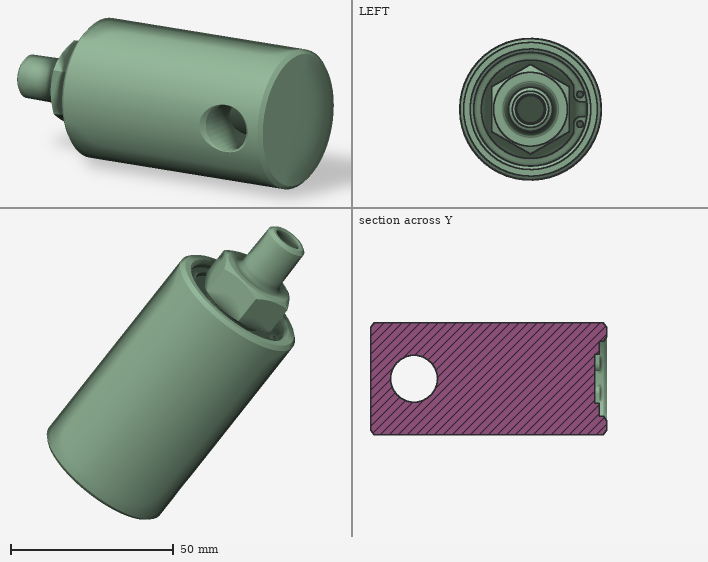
import cadquery as cq
import math

TOTAL_LENGTH = 98.89
TIP_TO_HEX = 15.85
TIP_TO_HOUSING = 25.8

HOUSING_DIAMETER = 43.7
HOUSING_CHAMFER = 1.2
MOUTH_DIAMETER = 37.25
BORE_DIAMETER = 35.08
RECESS_DEPTH = 3.8

RING_INNER_RADIUS = 15.2
RING_THICKNESS = 1.5
LUG_INNER_OFFSET = 13.3
LUG_CORNER_RADIUS = 2.3
LUG_FAR_OFFSET = 8.0
RING_GAP = 4.6
RING_HOLE_DIAMETER = 1.98
RING_HOLE_OFFSET_Y = 15.3
RING_HOLE_OFFSET_Z = 4.6

HEX_SIDES = 6
HEX_ACROSS_FLATS = 24.0
HEX_CHAMFER_RADIUS = 11.4
HEX_CHAMFER_ANGLE = 30.0
HEX_LENGTH = 12.1
NECK_DIAMETER = 19.84

SPIGOT_TIP_RADIUS = 5.6
SPIGOT_START_RADIUS = 6.78
SPIGOT_END_RADIUS = 7.0
SPIGOT_CHAMFER_LENGTH = 1.0
SPIGOT_FILLET_RADIUS = 1.6
SPIGOT_BORE_DIAMETER = 8.5
SPIGOT_BORE_MOUTH_DIAMETER = 9.3
SPIGOT_BORE_DEPTH = 40.0

PORT_FROM_END = 13.5
PORT_SINK_RADIUS = 8.85
PORT_MOUTH_RADIUS = 7.4
PORT_INNER_RADIUS = 6.8
SHAFT_DIAMETER = 14.6

ORIGIN = (0, 0, 0)
X_AXIS = (1, 0, 0)
Y_AXIS = (0, 1, 0)

HOUSING_RADIUS = HOUSING_DIAMETER / 2
BORE_RADIUS = BORE_DIAMETER / 2
HOUSING_LENGTH = TOTAL_LENGTH - TIP_TO_HOUSING
RECESS_FLOOR_X = TIP_TO_HOUSING + RECESS_DEPTH


def x_cylinder(radius, start, length):
    """Solid cylinder about the X axis."""
    return cq.Workplane("YZ", origin=(start, 0, 0)).circle(radius).extrude(length)


def revolved_about_x(points):
    """Solid turned about X from (x, radius) points."""
    return cq.Workplane("XY").polyline(points).close().revolve(axisStart=ORIGIN, axisEnd=X_AXIS)


def make_housing():
    """Chamfered cylinder with a countersunk recess in its -X face."""
    body = x_cylinder(HOUSING_RADIUS, TIP_TO_HOUSING, HOUSING_LENGTH)
    body = body.faces("<X or >X").chamfer(HOUSING_CHAMFER)
    mouth_radius = MOUTH_DIAMETER / 2
    mouth_depth = mouth_radius - BORE_RADIUS
    recess = revolved_about_x([
        (TIP_TO_HOUSING, 0),
        (TIP_TO_HOUSING, mouth_radius),
        (TIP_TO_HOUSING + mouth_depth, BORE_RADIUS),
        (RECESS_FLOOR_X, BORE_RADIUS),
        (RECESS_FLOOR_X, 0),
    ])
    return body.cut(recess)


def make_retaining_ring():
    """Open ring with a drilled, rounded lug on each side of the gap at -Y."""
    start = RECESS_FLOOR_X - RING_THICKNESS
    plane = cq.Workplane("YZ", origin=(start, 0, 0))
    disc = plane.circle(BORE_RADIUS).extrude(RING_THICKNESS)
    opening = plane.circle(RING_INNER_RADIUS).extrude(RING_THICKNESS)
    ring = disc.cut(opening)
    lug_length = BORE_RADIUS - LUG_INNER_OFFSET
    lug_width = LUG_FAR_OFFSET - RING_GAP / 2
    for side in (-1, 1):
        lug = (
            plane.center(-LUG_INNER_OFFSET - lug_length / 2, side * (RING_GAP + lug_width) / 2)
            .rect(lug_length, lug_width)
            .extrude(RING_THICKNESS)
        )
        gap_side = "<Z" if side > 0 else ">Z"
        lug = lug.edges("|X").edges(">Y").edges(gap_side).fillet(LUG_CORNER_RADIUS)
        ring = ring.union(lug.intersect(disc))
    gap = (
        plane.center(-LUG_INNER_OFFSET - lug_length / 2, 0)
        .rect(lug_length, RING_GAP)
        .extrude(RING_THICKNESS)
    )
    holes = (
        plane.pushPoints([(-RING_HOLE_OFFSET_Y, side * RING_HOLE_OFFSET_Z) for side in (-1, 1)])
        .circle(RING_HOLE_DIAMETER / 2)
        .extrude(RING_THICKNESS)
    )
    return ring.cut(gap).cut(holes)


def make_hexagon():
    """Hexagonal prism with conical end chamfers, corners at +Z and -Z, plus its neck."""
    corner_radius = HEX_ACROSS_FLATS / 2 / math.cos(math.pi / HEX_SIDES)
    prism = (
        cq.Workplane("YZ", origin=(TIP_TO_HEX, 0, 0))
        .transformed(rotate=(0, 0, 90))
        .polygon(HEX_SIDES, 2 * corner_radius)
        .extrude(HEX_LENGTH)
    )
    hex_end = TIP_TO_HEX + HEX_LENGTH
    slope = math.tan(math.radians(HEX_CHAMFER_ANGLE))
    chamfer_length = (corner_radius - HEX_CHAMFER_RADIUS) * slope
    envelope = revolved_about_x([
        (TIP_TO_HEX, 0),
        (TIP_TO_HEX, HEX_CHAMFER_RADIUS),
        (TIP_TO_HEX + chamfer_length, corner_radius),
        (hex_end - chamfer_length, corner_radius),
        (hex_end, HEX_CHAMFER_RADIUS),
        (hex_end, 0),
    ])
    neck = x_cylinder(NECK_DIAMETER / 2, hex_end, RECESS_FLOOR_X - hex_end)
    return prism.intersect(envelope).union(neck)


def make_spigot():
    """Tapered spigot with a chamfered tip and a concave fillet onto the hexagon."""
    fillet_start = TIP_TO_HEX - SPIGOT_FILLET_RADIUS
    flare_radius = SPIGOT_END_RADIUS + SPIGOT_FILLET_RADIUS
    arc_reach = SPIGOT_FILLET_RADIUS * math.sqrt(0.5)
    arc_middle = (fillet_start + arc_reach, flare_radius - arc_reach)
    return (
        cq.Workplane("XY")
        .moveTo(0, 0)
        .lineTo(0, SPIGOT_TIP_RADIUS)
        .lineTo(SPIGOT_CHAMFER_LENGTH, SPIGOT_START_RADIUS)
        .lineTo(fillet_start, SPIGOT_END_RADIUS)
        .threePointArc(arc_middle, (TIP_TO_HEX, flare_radius))
        .lineTo(TIP_TO_HEX, 0)
        .close()
        .revolve(axisStart=ORIGIN, axisEnd=X_AXIS)
    )


def make_spigot_bore():
    """Blind bore with a 45 degree chamfer at the tip."""
    bore_radius = SPIGOT_BORE_DIAMETER / 2
    mouth_radius = SPIGOT_BORE_MOUTH_DIAMETER / 2
    return revolved_about_x([
        (0, 0),
        (0, mouth_radius),
        (mouth_radius - bore_radius, bore_radius),
        (SPIGOT_BORE_DEPTH, bore_radius),
        (SPIGOT_BORE_DEPTH, 0),
    ])


def make_side_port():
    """Tapered port from the -Y side, ending on the round surface of the shaft."""
    port_x = TOTAL_LENGTH - PORT_FROM_END
    sink_bottom = HOUSING_RADIUS - (PORT_SINK_RADIUS - PORT_MOUTH_RADIUS)
    profile = [
        (0, 0),
        (0, -HOUSING_RADIUS),
        (PORT_SINK_RADIUS, -HOUSING_RADIUS),
        (PORT_MOUTH_RADIUS, -sink_bottom),
        (PORT_INNER_RADIUS, 0),
    ]
    port = (
        cq.Workplane("XY", origin=(port_x, 0, 0))
        .polyline(profile)
        .close()
        .revolve(axisStart=ORIGIN, axisEnd=Y_AXIS)
    )
    shaft = x_cylinder(SHAFT_DIAMETER / 2, port_x - HOUSING_RADIUS, 2 * HOUSING_RADIUS)
    return port.cut(shaft)


result = (
    make_housing()
    .union(make_retaining_ring())
    .union(make_hexagon())
    .union(make_spigot())
    .cut(make_spigot_bore())
    .cut(make_side_port())
)